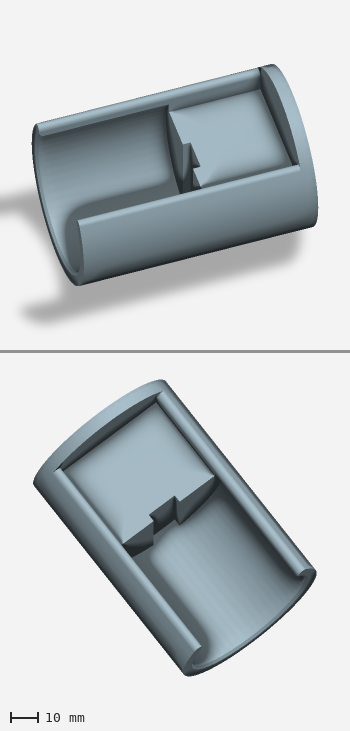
import cadquery as cq

length = 90.0
outer_diameter = 61.5
bore_diameter = 51.5
flange_thickness = 5.0
mouth_chamfer = 1.0

slot_width = 44.0
slot_floor_height = 8.8
lip_radius = 2.0

block_length = 35.0
groove_width = 12.0
groove_depth = 3.0

front_y = -length / 2
flange_y = length / 2 - flange_thickness
block_front_y = flange_y - block_length
outer_radius = outer_diameter / 2
bore_radius = bore_diameter / 2


def cylinder_along_y(diameter, start_y, end_y):
    """Return a cylinder centred on the Y axis between two Y positions."""
    plane = cq.Workplane("XZ", origin=(0, start_y, 0))
    return plane.circle(diameter / 2).extrude(start_y - end_y)


def box_above(width, start_y, end_y, bottom_z, top_z):
    """Return a box centred on X, given by its Y and Z limits."""
    size = (width, end_y - start_y, top_z - bottom_z)
    corner = (0, start_y, bottom_z)
    return cq.Workplane("XY").box(*size, centered=(True, False, False)).translate(corner)


def make_tube():
    """Tube and block, opened along the top, with rounded lips."""
    body = cylinder_along_y(outer_diameter, front_y, flange_y)
    bore = cylinder_along_y(bore_diameter, front_y, block_front_y)
    body = body.cut(bore)
    mouth_edge = cq.selectors.RadiusNthSelector(0)
    body = body.faces("<Y").edges(mouth_edge).chamfer(mouth_chamfer)
    slot = box_above(slot_width, front_y, flange_y, slot_floor_height, outer_radius)
    body = body.cut(slot)

    return body.edges("|Y").edges(">Z").fillet(lip_radius)


def make_groove():
    """Vertical groove running down the block face to the bore wall."""
    groove_back_y = block_front_y + groove_depth
    groove = box_above(groove_width, block_front_y, groove_back_y, -bore_radius, slot_floor_height)
    return groove.intersect(cylinder_along_y(bore_diameter, block_front_y, groove_back_y))


flange = cylinder_along_y(outer_diameter, flange_y, length / 2)
result = make_tube().cut(make_groove()).union(flange)